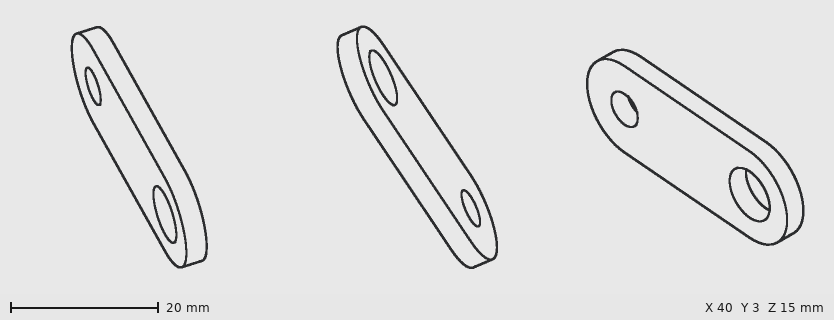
import cadquery as cq

hole_spacing = 25.0
link_width = 15.0
thickness = 3.0
small_hole_diameter = 5.3
large_hole_diameter = 8.0

overall_length = hole_spacing + link_width
hole_offset = hole_spacing / 2


def back_face_plane():
    """Sketch plane on the +Y face; extrusions from it run toward -Y."""
    return cq.Workplane("XZ", origin=(0, thickness / 2, 0))


def link_plate():
    """Plate with full-round ends, centred on the origin."""
    return back_face_plane().slot2D(overall_length, link_width).extrude(thickness)


def through_hole(x_position, diameter):
    """Cylinder along Y spanning the whole plate thickness."""
    return back_face_plane().center(x_position, 0).circle(diameter / 2).extrude(thickness)


result = (
    link_plate()
    .cut(through_hole(-hole_offset, small_hole_diameter))
    .cut(through_hole(hole_offset, large_hole_diameter))
)